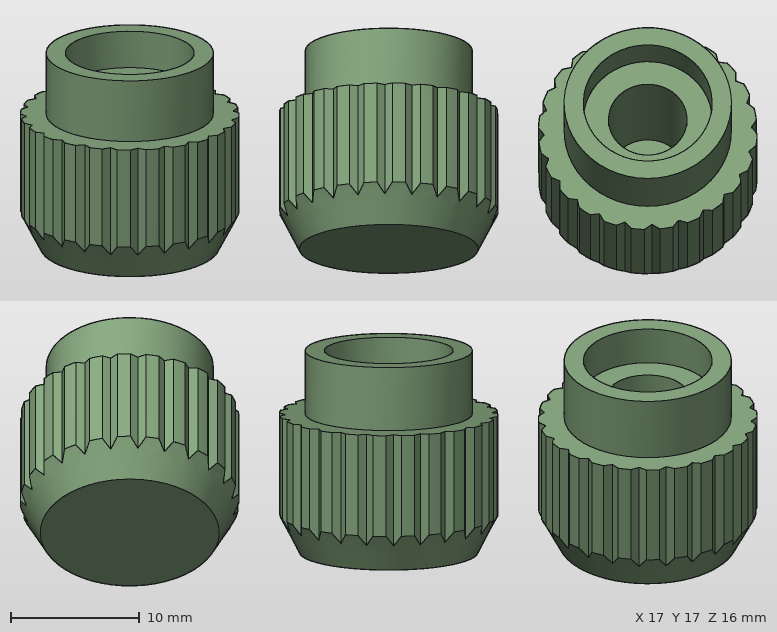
import cadquery as cq
import math

outer_width = 16.96
total_height = 16.0

boss_diameter = 13.0
boss_height = 5.0
taper_height = 3.0
base_radius = 6.95

groove_count = 24
groove_half_width = 0.6
groove_root_radius = 8.07

counterbore_diameter = 10.0
counterbore_depth = 3.0
bore_diameter = 6.1
floor_thickness = taper_height

grip_edge = outer_width / 2
grip_radius = math.hypot(grip_edge, groove_half_width)
grip_top = total_height - boss_height
counterbore_floor = total_height - counterbore_depth


def make_body():
    """Solid of revolution: tapered base, cylindrical grip and smaller boss."""
    profile = [
        (0, 0),
        (base_radius, 0),
        (grip_radius, taper_height),
        (grip_radius, grip_top),
        (boss_diameter / 2, grip_top),
        (boss_diameter / 2, total_height),
        (0, total_height),
    ]
    return cq.Workplane("XZ").polyline(profile).close().revolve(360, (0, 0, 0), (0, 1, 0))


def make_grooves():
    """Evenly spaced V prisms that run the full height of the grip."""
    reach = 2 * (grip_edge - groove_root_radius)
    mouth = 2 * groove_half_width
    section = [
        (groove_root_radius, 0),
        (groove_root_radius + reach, mouth),
        (groove_root_radius + reach, -mouth),
    ]
    groove = cq.Workplane("XY").polyline(section).close().extrude(grip_top)
    grooves = cq.Workplane("XY")
    for index in range(groove_count):
        angle = index * 360 / groove_count
        grooves = grooves.add(groove.rotate((0, 0, 0), (0, 0, 1), angle))
    return grooves.combine()


def make_stepped_bore():
    """Narrow blind bore with a wider counterbore opening at the top."""
    bore = (
        cq.Workplane("XY", origin=(0, 0, floor_thickness))
        .circle(bore_diameter / 2)
        .extrude(counterbore_floor - floor_thickness)
    )
    counterbore = (
        cq.Workplane("XY", origin=(0, 0, counterbore_floor))
        .circle(counterbore_diameter / 2)
        .extrude(counterbore_depth)
    )
    return bore.union(counterbore)


result = make_body().cut(make_grooves()).cut(make_stepped_bore())